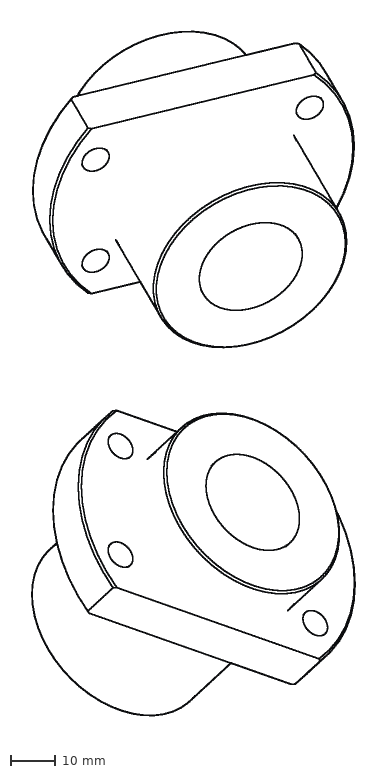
import cadquery as cq

total_length = 58.0
barrel_diameter = 46.9
bore_diameter = 25.0

flange_diameter = 73.9
flange_height = 49.0
flange_thickness = 12.0
flange_offset = 15.1

hole_diameter = 6.6
hole_circle_radius = 30.0
hole_angles = (30, 150, 210, 330)

edge_chamfer = 0.5
root_fillet = 0.5


def cylinder(start, length, diameter):
    """Solid cylinder along X, starting at the given X position."""
    return cq.Workplane("YZ", origin=(start, 0, 0)).circle(diameter / 2).extrude(length)


def make_flange():
    disc = cylinder(flange_offset, flange_thickness, flange_diameter).edges().chamfer(edge_chamfer)
    flats = cq.Workplane("XY").box(
        flange_thickness, flange_diameter, flange_height
    ).translate((flange_offset + flange_thickness / 2, 0, 0))
    return disc.intersect(flats)


def make_root_ring(flange_face, direction):
    """Concave fillet ring between the barrel and one flange face."""
    radius = barrel_diameter / 2
    outer_x = flange_face + direction * root_fillet
    return (
        cq.Workplane("XY")
        .moveTo(flange_face, radius + root_fillet)
        .radiusArc((outer_x, radius), -direction * root_fillet)
        .lineTo(outer_x, radius - root_fillet)
        .lineTo(flange_face, radius - root_fillet)
        .close()
        .revolve(360, (0, 0, 0), (1, 0, 0))
    )


barrel = cylinder(0, total_length, barrel_diameter).edges().chamfer(edge_chamfer)
body = barrel.union(make_flange())
body = body.union(make_root_ring(flange_offset, -1))
body = body.union(make_root_ring(flange_offset + flange_thickness, 1))

body = body.cut(cylinder(0, total_length, bore_diameter))
for angle in hole_angles:
    hole = cylinder(flange_offset, flange_thickness, hole_diameter)
    hole = hole.translate((0, hole_circle_radius, 0))
    body = body.cut(hole.rotate((0, 0, 0), (1, 0, 0), angle))

result = body